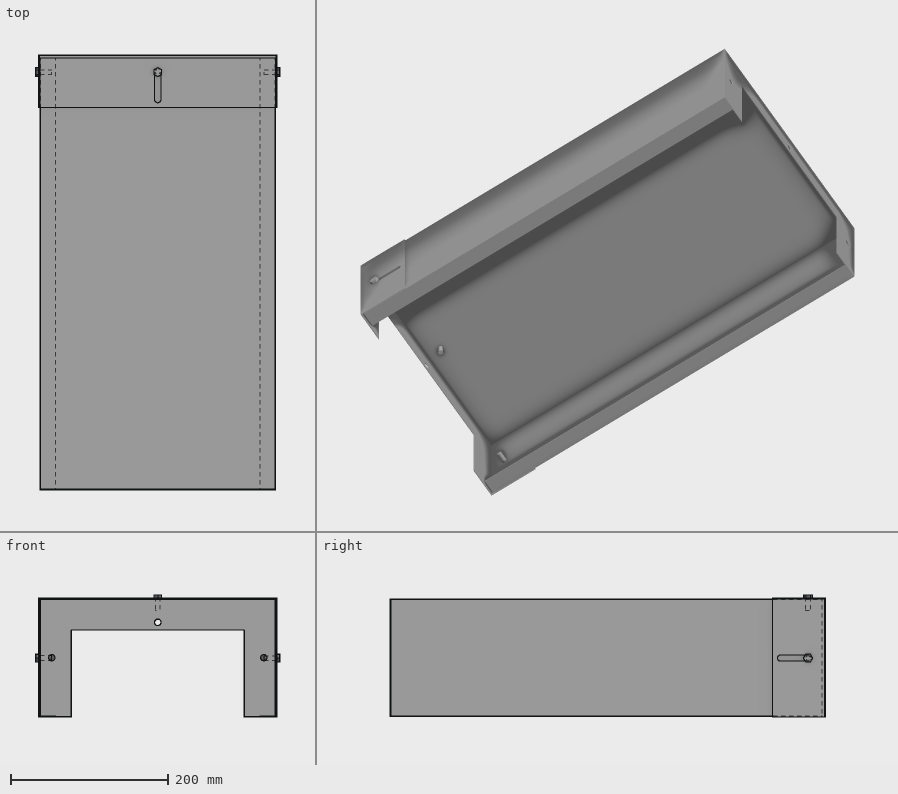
import cadquery as cq
import math

sheet = 1.0
cover_width = 300.0
cover_height = 150.0
cover_length = 550.0
cover_bottom = 0.5
lip_width = 20.0

total_length = 554.0
collar_depth = 67.0
side_clearance = 0.5
collar_width = cover_width + 2 * (side_clearance + sheet)
collar_height = cover_bottom + cover_height + sheet
collar_front = total_length - collar_depth

frame_width = 40.0
opening_width = cover_width - 2 * frame_width
opening_height = cover_bottom + cover_height - frame_width
frame_hole_diameter = 8.0
top_hole_drop = 30.0
side_hole_inset = 15.0
side_hole_height = 75.5
side_hole_x = cover_width / 2 - side_hole_inset
top_hole = (0, cover_bottom + cover_height - top_hole_drop)
side_holes = [(-side_hole_x, side_hole_height), (side_hole_x, side_hole_height)]

slot_width = 8.0
slot_front_y = collar_front + 10.0
screw_y = collar_front + 45.0
side_screw_height = 75.0
head_flats = 10.0
head_corners = head_flats / math.cos(math.pi / 6)
head_height = 4.0
shank_diameter = 6.0
shank_length = 16.0


def plain_box(width, length, height):
    """Box centred on X that starts at Y = 0 and Z = 0."""
    return cq.Workplane("XY").box(width, length, height, centered=(True, False, False))


def channel(width, length, height):
    """Channel open at the bottom: a top panel and two side walls of sheet thickness."""
    inside = plain_box(width - 2 * sheet, length, height - sheet)
    return plain_box(width, length, height).cut(inside)


def frame(width, bottom, top, hole_places):
    """Three-sided plate with an opening at its bottom and holes at the given X and Z places."""
    plate = plain_box(width, sheet, top - bottom).translate((0, 0, bottom))
    opening = plain_box(opening_width, sheet, opening_height)
    holes = cq.Workplane("XZ").pushPoints(hole_places).circle(frame_hole_diameter / 2).extrude(-sheet)
    return plate.cut(opening).cut(holes)


def on_three_sides(item):
    """Three copies of an item whose Z = 0 plane goes to the collar's top, left and right outer faces."""
    wall_x = collar_width / 2
    on_top = item.translate((0, 0, collar_height))
    on_left = item.rotate((0, 0, 0), (0, 1, 0), -90).translate((-wall_x, 0, side_screw_height))
    on_right = item.rotate((0, 0, 0), (0, 1, 0), 90).translate((wall_x, 0, side_screw_height))
    return [on_top, on_left, on_right]


def make_shank():
    return cq.Workplane("XY").center(0, screw_y).circle(shank_diameter / 2).extrude(-shank_length)


def make_cover():
    body = channel(cover_width, cover_length, cover_height)
    for side in (-1, 1):
        lip_x = side * (cover_width - lip_width) / 2
        body = body.union(plain_box(lip_width, cover_length, sheet).translate((lip_x, 0, 0)))
    body = body.translate((0, 0, cover_bottom))
    front_frame = frame(cover_width, cover_bottom, cover_bottom + cover_height, [top_hole, *side_holes])
    body = body.union(front_frame)
    for shank in on_three_sides(make_shank()):
        body = body.cut(shank)
    return body


def make_collar():
    body = channel(collar_width, collar_depth, collar_height).translate((0, collar_front, 0))
    back_frame = frame(collar_width, 0, collar_height, [top_hole])
    body = body.union(back_frame.translate((0, total_length - sheet, 0)))
    slot_length = screw_y - slot_front_y + slot_width
    slot_middle_y = (screw_y + slot_front_y) / 2
    slot = cq.Workplane("XY").center(0, slot_middle_y).slot2D(slot_length, slot_width, 90).extrude(-sheet)
    for side_slot in on_three_sides(slot):
        body = body.cut(side_slot)
    return body


def make_screw():
    """Hexagon head screw, its head seated on Z = 0 with two corners pointing along Y."""
    head = cq.Workplane("XY").polygon(6, head_corners).extrude(head_height)
    head = head.rotate((0, 0, 0), (0, 0, 1), 90).translate((0, screw_y, 0))
    return make_shank().union(head)


cover = make_cover()
collar = make_collar()
screws = on_three_sides(make_screw())

result = cq.Compound.makeCompound([cover.val(), collar.val(), *[screw.val() for screw in screws]])